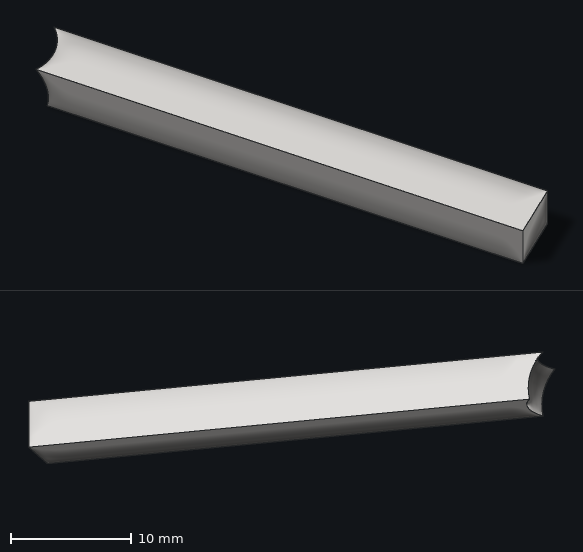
import cadquery as cq

bar_width = 5.0
bar_height = 4.0
bar_angle = 45.0

ball_radius = 5.0
ball_height = 1.0
ball_side_offset = 0.385
ball_to_far_end = 47.88


def bar_blank():
    """Plain bar along +X, running from beneath the ball centre to the square end."""
    return (
        cq.Workplane("XY")
        .center(0, ball_side_offset)
        .box(ball_to_far_end, bar_width, bar_height, centered=(False, True, False))
    )


def seat_ball():
    """Ball centred over the origin that hollows the end of the bar."""
    return cq.Workplane("XY").sphere(ball_radius).translate((0, 0, ball_height))


straight_bar = bar_blank().cut(seat_ball())
result = straight_bar.rotate((0, 0, 0), (0, 0, 1), bar_angle)